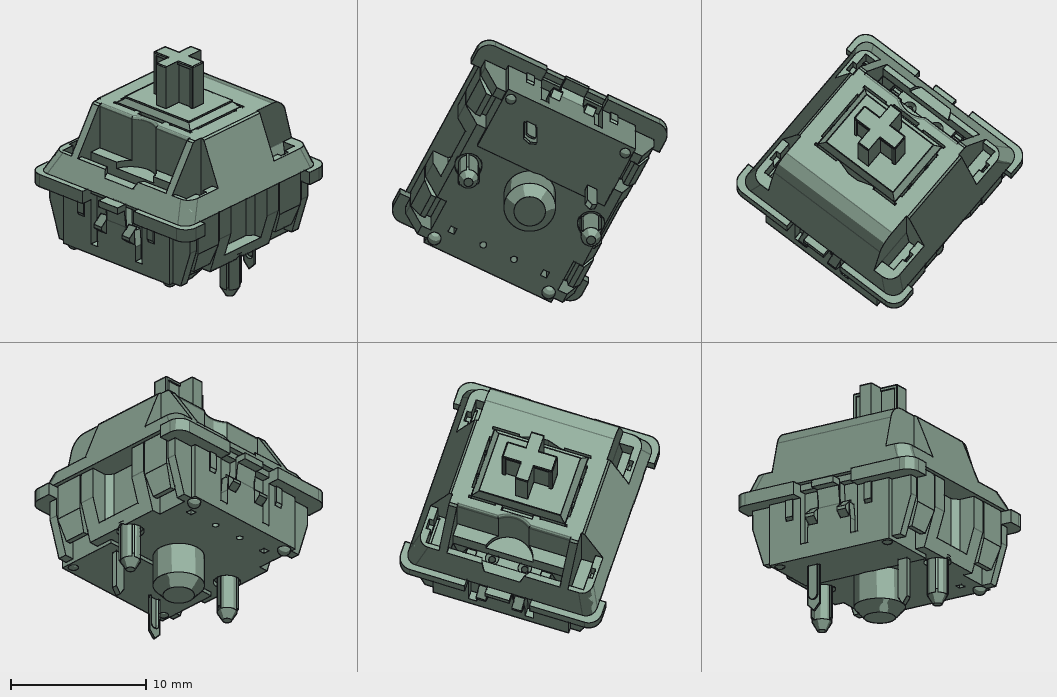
import cadquery as cq

SIDES = (-1, 1)
CUT = 18.4
MARGIN = 0.02

FLANGE_TOP = 1.01
LEDGE_Z = 2.55
ROOF_Z = 6.15
COLLAR_TOP = 6.66
STEM_TOP = 10.08
BASE_BOTTOM = -4.47
PAD_BOTTOM = -4.78
PEG_TIP_Z = -7.78
PIN_TIP_Z = -8.32
CAVITY_FLOOR = -3.45

FLANGE_HALF = 7.8
FLANGE_RADIUS = 1.01
FLANGE_SIDE_NOTCH = 5.72

BODY_HALF_X = 6.97
BODY_FOOT_X = 6.02
BODY_BEND_Z = -1.47
BODY_HALF_Y = 6.5
PLATE_HALF_X = 5.26
PLATE_Y = 6.88
PAD_FRONT_Y = 1.82
SIDE_POCKET_OUTER = 2.0
SIDE_POCKET_INNER = 1.5
SIDE_POCKET_SPLAY_X = 5.75
SIDE_POCKET_X = 5.3

WINDOW_HALF_X = 2.52
WINDOW_DEPTH = 0.65
WINDOW_BOTTOM = -3.65
WINDOW_TOP = 0.52
TONGUE_HALF_X = 1.88
TONGUE_NECK_X = 1.0
TONGUE_SHOULDER_Z = -1.18
TONGUE_TAPER_Z = -2.47
TONGUE_HOOK_X = 1.77
TAB_HALF_X = 0.94
TAB_TOP = 0.77
TAB_BOTTOM = 0.25
TAB_ROOT_Z = -1.15
TAB_SLOPE_RUN = 0.18
HOOK_Y = 7.4
HOOK_ROOT_Y = 6.62
HOOK_TOP = -0.95
HOOK_WIDTH = 0.75
HOOK_BOTTOM = -2.3
HOOK_NOSE_TOP = -1.6
HOOK_NOSE_BOTTOM = -1.85
RIB_X = 3.45
RIB_WIDTH = 0.6
RIB_Y = 7.01
RIB_BEND_Z = -1.35
RIB_BOTTOM = -1.6

POST_RADIUS = 3.8 / 2
POST_TIP_RADIUS = 1.15
POST_CHAMFER_Z = -6.95
PEG_X = 5.08
PEG_RADIUS = 0.74
PEG_TIP_RADIUS = 0.33
PEG_CHAMFER_Z = -7.08
PEG_SINK_DIAMETER = 2.0
PEG_SINK_DEPTH = 0.37
PEG_RIB_REACH = 0.86
PEG_RIB_WIDTH = 0.18
PEG_RIB_COUNT = 3
DOME_RADIUS = 1.0 / 2
DOME_X = 4.73
DOME_Y = 6.25

SKIRT_HALF = 7.32
SKIRT_RADIUS = 1.0
ROOF_HALF_X = 5.23
ROOF_FRONT_Y = -3.9
ROOF_BACK_Y = 5.9
BACK_RADIUS = 1.49
ROOF_EDGE = 0.13
SPINE_HALF_X = 5.0
SPINE_HALF_Y = 3.1
FRONT_RECESS_X = 4.38
FRONT_RECESS_Y = -3.85
RECESS_EDGE_RADIUS = 0.2
SCOOP_RADIUS = 1.9
SCOOP_Y = -5.32
SCOOP_FLOOR = 2.05

CLIP_INNER_X = 5.92
CLIP_OUTER_X = 7.0
CLIP_FOOT_X = 6.33
CLIP_Y = 4.5
CLIP_HALF_WIDTH = 1.15
CLIP_FOOT_HALF_WIDTH = 0.9
CLIP_BEND_Z = -1.84
CLIP_BOTTOM = -3.57
CLIP_GAP = 0.13
CORNER_POCKET_X = 6.1
CORNER_POCKET_Y = 5.96
CORNER_KEY_X = 6.45
CORNER_KEY_WIDTH = 0.77
CORNER_KEY_FLOOR = 1.47

LED_SLOT_FRONT = -5.85
LED_SLOT_BACK = -4.82
LED_HOLE_X = 1.27
LED_LEAD_Y = -5.08
LED_HOLE_DIAMETER = 0.5
LED_SINK_DIAMETER = 1.0
LED_STEP_EDGES = (LED_SLOT_BACK, -5.34, -5.55)
LED_STEP_HEIGHT = 0.18
FUNNEL_X = 3.83
FUNNEL_WIDTH = 1.15
FUNNEL_DEPTH = 1.1
FUNNEL_HOLE = 0.5

COLLAR_HALF_X = 3.62
COLLAR_HALF_Y = 2.78
COLLAR_TOP_X = 3.16
COLLAR_TOP_Y = 2.4
COLLAR_RIM = 0.13
CROSS_HALF = 1.95
CROSS_X_ARM_HALF = 0.65
CROSS_Y_ARM_HALF = 0.48
CROSS_EDGE = 0.07
CROSS_PANEL_DEPTH = 0.13
CROSS_PANEL_BORDER = 0.25
STEM_BOTTOM = FLANGE_TOP
STEM_CLEARANCE = 0.04
STEM_KEY_X = 1.15
STEM_KEY_Y = 3.0
STEM_KEY_TOP = 5.7
STEM_RAIL_Y = 0.95
STEM_RAIL_WIDTH = 0.4
OPENING_HALF_X = 3.8
OPENING_HALF_Y = 2.96
OPENING_SIDE_Y = 2.12
OPENING_CORNER_X = 1.75
KEYWAY_HALF_X = 1.2
KEYWAY_Y = 3.16
KEYWAY_BACK_X = 1.53
KEYWAY_BACK_TOP_X = 0.42

PIN_TOP = -3.31
PIN_SHOULDER_Z = -7.78
NARROW_PIN = dict(x=-3.79, y=2.54, width=0.8, thickness=0.42)
WIDE_PIN = dict(x=2.52, y=5.02, width=1.03, thickness=0.17)
PRESSED_WIDTH = 0.75
PRESSED_DEPTH = 0.13
PRESSED_TAPER = 45
PRESSED_BOTTOM = -7.45


def block(x0, x1, y0, y1, z0, z1):
    """Box between two opposite corners."""
    return cq.Workplane("XY").box(x1 - x0, y1 - y0, z1 - z0, centered=False).translate((x0, y0, z0))


def centred_block(half_x, half_y, z0, z1):
    return block(-half_x, half_x, -half_y, half_y, z0, z1)


def extrude_along_x(points_yz, x0, x1):
    return cq.Workplane("YZ").polyline(points_yz).close().extrude(x1 - x0).translate((x0, 0, 0))


def extrude_along_y(points_xz, y0, y1):
    return cq.Workplane("XZ").polyline(points_xz).close().extrude(y0 - y1).translate((0, y0, 0))


def both_ends(shape):
    """The shape and its mirror image across Y = 0."""
    return shape.union(shape.mirror("XZ"))


def both_sides(shape):
    """The shape and its mirror image across X = 0."""
    return shape.union(shape.mirror("YZ"))


def four_corners(shape):
    return both_sides(both_ends(shape))


def tapered_peg(radius, tip_radius, chamfer_z, top):
    """Round peg on the Z axis with a conical tip."""
    outline = [(0, top), (radius, top), (radius, chamfer_z), (tip_radius, PEG_TIP_Z), (0, PEG_TIP_Z)]
    return cq.Workplane("XZ").polyline(outline).close().revolve(360, (0, 0, 0), (0, 1, 0))


def base_flange():
    flange = centred_block(FLANGE_HALF, FLANGE_HALF, 0, FLANGE_TOP).edges("|Z").fillet(FLANGE_RADIUS)
    side_notch = block(BODY_HALF_X, CUT, -FLANGE_SIDE_NOTCH, FLANGE_SIDE_NOTCH, 0, FLANGE_TOP)
    end_notch = block(-WINDOW_HALF_X, WINDOW_HALF_X, -CUT, -PLATE_Y, 0, FLANGE_TOP)
    return flange.cut(both_sides(side_notch)).cut(both_ends(end_notch))


def base_body():
    half_outline = [
        (BODY_HALF_X, FLANGE_TOP),
        (BODY_HALF_X, BODY_BEND_Z),
        (BODY_FOOT_X, BASE_BOTTOM),
    ]
    outline = half_outline + [(-x, z) for x, z in reversed(half_outline)]
    body = extrude_along_y(outline, -BODY_HALF_Y, BODY_HALF_Y)
    body = body.union(centred_block(PLATE_HALF_X, PLATE_Y, BASE_BOTTOM, FLANGE_TOP))
    return body.union(block(-PLATE_HALF_X, PLATE_HALF_X, PAD_FRONT_Y, PLATE_Y, PAD_BOTTOM, BASE_BOTTOM))


def side_pocket():
    """Pocket in the right wall that narrows near its back."""
    outline = [
        (CUT, -SIDE_POCKET_OUTER),
        (SIDE_POCKET_SPLAY_X, -SIDE_POCKET_OUTER),
        (SIDE_POCKET_X, -SIDE_POCKET_INNER),
        (SIDE_POCKET_X, SIDE_POCKET_INNER),
        (SIDE_POCKET_SPLAY_X, SIDE_POCKET_OUTER),
        (CUT, SIDE_POCKET_OUTER),
    ]
    pocket = cq.Workplane("XY").workplane(offset=CAVITY_FLOOR).polyline(outline).close()
    return pocket.extrude(FLANGE_TOP - CAVITY_FLOOR)


def clip_recess():
    """Recess for a clip, deeper below the level where the clip starts to taper."""
    half_width = CLIP_HALF_WIDTH + CLIP_GAP
    recess = block(CLIP_INNER_X, CUT, CLIP_Y - half_width, CLIP_Y + half_width, CLIP_BEND_Z, CUT)
    return recess.union(block(PLATE_HALF_X, CUT, CLIP_Y - half_width, CLIP_Y + half_width, -CUT, CLIP_BEND_Z))


def latch_window():
    window_back = -PLATE_Y + WINDOW_DEPTH
    window = block(-WINDOW_HALF_X, WINDOW_HALF_X, -PLATE_Y, window_back, WINDOW_BOTTOM, WINDOW_TOP)
    half_tongue = [
        (TONGUE_HALF_X, WINDOW_BOTTOM),
        (TONGUE_HALF_X, TONGUE_TAPER_Z),
        (TONGUE_HOOK_X, TONGUE_SHOULDER_Z),
        (TONGUE_NECK_X, TONGUE_SHOULDER_Z),
        (TAB_HALF_X, WINDOW_TOP),
    ]
    outline = half_tongue + [(-x, z) for x, z in reversed(half_tongue)]
    return window.cut(extrude_along_y(outline, -PLATE_Y, window_back))


def release_tab():
    """Tab above the tongue, with a slightly sloping face under it."""
    outline = [
        (-PLATE_Y, TAB_ROOT_Z),
        (-PLATE_Y - TAB_SLOPE_RUN, TAB_BOTTOM),
        (-FLANGE_HALF, TAB_BOTTOM),
        (-FLANGE_HALF, TAB_TOP),
        (-PLATE_Y, TAB_TOP),
    ]
    return extrude_along_x(outline, -TAB_HALF_X, TAB_HALF_X)


def snap_hook():
    outline = [
        (-HOOK_ROOT_Y, HOOK_TOP),
        (-HOOK_Y, HOOK_NOSE_TOP),
        (-HOOK_Y, HOOK_NOSE_BOTTOM),
        (-PLATE_Y, HOOK_BOTTOM),
        (-HOOK_ROOT_Y, HOOK_BOTTOM),
    ]
    return extrude_along_x(outline, TONGUE_HOOK_X - HOOK_WIDTH, TONGUE_HOOK_X)


def press_rib():
    outline = [(-PLATE_Y, 0), (-RIB_Y, 0), (-RIB_Y, RIB_BEND_Z), (-PLATE_Y, RIB_BOTTOM)]
    return extrude_along_x(outline, RIB_X - RIB_WIDTH / 2, RIB_X + RIB_WIDTH / 2)


def side_peg():
    """Right-hand locating peg with ribs, one of them pointing to the middle of the part."""
    top = BASE_BOTTOM + PEG_SINK_DEPTH
    slope = (PEG_RADIUS - PEG_TIP_RADIUS) / (PEG_CHAMFER_Z - PEG_TIP_Z)
    rib_chamfer_z = PEG_CHAMFER_Z + (PEG_RIB_REACH - PEG_RADIUS) / slope
    envelope = tapered_peg(PEG_RIB_REACH, PEG_TIP_RADIUS, rib_chamfer_z, top)
    peg = tapered_peg(PEG_RADIUS, PEG_TIP_RADIUS, PEG_CHAMFER_Z, top)
    rib = block(-PEG_RIB_REACH, 0, -PEG_RIB_WIDTH / 2, PEG_RIB_WIDTH / 2, PEG_TIP_Z, top).intersect(envelope)
    for index in range(PEG_RIB_COUNT):
        peg = peg.union(rib.rotate((0, 0, 0), (0, 0, 1), index * 360 / PEG_RIB_COUNT))
    return peg.translate((PEG_X, 0, 0))


def peg_sink():
    """Round sink in the underside around the root of the right-hand peg."""
    sink = cq.Workplane("XY").circle(PEG_SINK_DIAMETER / 2).extrude(PEG_SINK_DEPTH)
    return sink.translate((PEG_X, 0, BASE_BOTTOM))


def lead_holes():
    """Countersunk round holes and funnelled square holes under the light slot."""
    holes = cq.Workplane("XY")
    sink_depth = (LED_SINK_DIAMETER - LED_HOLE_DIAMETER) / 2
    for side in SIDES:
        spot = (side * LED_HOLE_X, LED_LEAD_Y, FLANGE_TOP)
        hole = cq.Workplane("XY").circle(LED_HOLE_DIAMETER / 2).extrude(-CUT).translate(spot)
        sink = cq.Workplane(cq.Solid.makeCone(LED_HOLE_DIAMETER / 2, LED_SINK_DIAMETER / 2, sink_depth))
        sink = sink.translate((spot[0], spot[1], FLANGE_TOP - sink_depth))
        slot_length = LED_SLOT_BACK - LED_SLOT_FRONT
        funnel = (
            cq.Workplane("XY", origin=(side * FUNNEL_X, LED_SLOT_BACK, FLANGE_TOP))
            .center(0, -slot_length / 2)
            .rect(FUNNEL_WIDTH, slot_length)
            .workplane(offset=-FUNNEL_DEPTH)
            .center(0, (slot_length - FUNNEL_HOLE) / 2)
            .rect(FUNNEL_HOLE, FUNNEL_HOLE)
            .loft(ruled=True)
        )
        square = block(
            side * FUNNEL_X - FUNNEL_HOLE / 2,
            side * FUNNEL_X + FUNNEL_HOLE / 2,
            LED_SLOT_BACK - FUNNEL_HOLE,
            LED_SLOT_BACK,
            -CUT,
            FLANGE_TOP - FUNNEL_DEPTH,
        )
        for cutter in (hole, sink, funnel, square):
            holes = holes.add(cutter)
    return holes


def lead_steps():
    """Shallow steps between the round and square holes on the right, falling towards the front."""
    inner_edge_of_funnel = FUNNEL_X - FUNNEL_WIDTH / 2
    steps = cq.Workplane("XY")
    for index, edge_y in enumerate(LED_STEP_EDGES, start=1):
        floor_z = FLANGE_TOP - index * LED_STEP_HEIGHT
        step = block(WINDOW_HALF_X, inner_edge_of_funnel, LED_SLOT_FRONT, edge_y, floor_z, FLANGE_TOP)
        steps = steps.union(step)
    return steps


def make_base():
    base = base_flange().union(base_body())
    base = base.cut(centred_block(OPENING_HALF_X, OPENING_HALF_Y, CAVITY_FLOOR, FLANGE_TOP))
    base = base.cut(both_sides(side_pocket()))
    base = base.cut(four_corners(clip_recess()))
    base = base.cut(both_ends(latch_window()))
    base = base.union(both_ends(release_tab()))
    base = base.union(four_corners(snap_hook()))
    base = base.union(four_corners(press_rib()))
    base = base.union(tapered_peg(POST_RADIUS, POST_TIP_RADIUS, POST_CHAMFER_Z, BASE_BOTTOM))
    base = base.cut(both_sides(peg_sink())).union(both_sides(side_peg()))
    dome = cq.Workplane("XY").sphere(DOME_RADIUS).translate((DOME_X, DOME_Y, BASE_BOTTOM))
    base = base.union(four_corners(dome))
    base = base.cut(both_sides(lead_steps()))
    for cutter in lead_holes().vals():
        base = base.cut(cq.Workplane(cutter))
    return base


def upper_shell():
    """Tapered block, cut away at its four corners above a rim with rounded corners."""
    shell = (
        cq.Workplane("XY", origin=(0, 0, FLANGE_TOP))
        .rect(2 * SKIRT_HALF, 2 * SKIRT_HALF)
        .workplane(offset=ROOF_Z - FLANGE_TOP)
        .center(0, (ROOF_FRONT_Y + ROOF_BACK_Y) / 2)
        .rect(2 * ROOF_HALF_X, ROOF_BACK_Y - ROOF_FRONT_Y)
        .loft(ruled=True)
    )
    shell = shell.cut(four_corners(block(SPINE_HALF_X, CUT, SPINE_HALF_Y, CUT, LEDGE_Z, CUT)))
    rim = cq.selectors.BoxSelector((-CUT, -CUT, FLANGE_TOP + MARGIN), (CUT, CUT, LEDGE_Z - MARGIN))
    return shell.edges(rim).fillet(SKIRT_RADIUS)


def roof_edges(x0, x1, y0, y1):
    """Selector of the roof edges whose centres lie in a rectangle."""
    return cq.selectors.BoxSelector(
        (x0 - MARGIN, y0 - MARGIN, ROOF_Z - MARGIN),
        (x1 + MARGIN, y1 + MARGIN, ROOF_Z + MARGIN),
    )


def round_roof_edges(shell):
    shell = shell.edges(roof_edges(0, 0, ROOF_BACK_Y, ROOF_BACK_Y)).fillet(BACK_RADIUS)
    for side in SIDES:
        edge_x = side * ROOF_HALF_X
        shell = shell.edges(roof_edges(edge_x, edge_x, 0, 0)).chamfer(ROOF_EDGE)
    return shell


def front_recess():
    recess = block(-FRONT_RECESS_X, FRONT_RECESS_X, -CUT, FRONT_RECESS_Y, LEDGE_Z, CUT)
    scoop = cq.Workplane("XY").circle(SCOOP_RADIUS).extrude(CUT).translate((0, SCOOP_Y, SCOOP_FLOOR))
    return recess.union(scoop)


def corner_pocket():
    """Opening beside a clip, with a key notch in the clip's top."""
    pocket = block(SPINE_HALF_X, CORNER_POCKET_X, SPINE_HALF_Y, CORNER_POCKET_Y, FLANGE_TOP, LEDGE_Z)
    half_key = CORNER_KEY_WIDTH / 2
    key_front = CLIP_Y - half_key
    key_back = CLIP_Y + half_key
    key = block(CORNER_POCKET_X, CORNER_KEY_X, key_front, key_back, CORNER_KEY_FLOOR, LEDGE_Z)
    return pocket.union(key)


def back_pocket_wedge():
    """Sloping inner wall of a back corner pocket."""
    outline = [(SPINE_HALF_X, LEDGE_Z), (PLATE_HALF_X, FLANGE_TOP), (SPINE_HALF_X, FLANGE_TOP)]
    return extrude_along_y(outline, SPINE_HALF_Y, CORNER_POCKET_Y)


def clip():
    side_outline = [
        (CLIP_INNER_X, FLANGE_TOP),
        (CLIP_OUTER_X, FLANGE_TOP),
        (CLIP_OUTER_X, CLIP_BEND_Z),
        (CLIP_FOOT_X, CLIP_BOTTOM),
        (CLIP_INNER_X, CLIP_BOTTOM),
    ]
    face_outline = [
        (CLIP_Y - CLIP_HALF_WIDTH, FLANGE_TOP),
        (CLIP_Y - CLIP_HALF_WIDTH, CLIP_BEND_Z),
        (CLIP_Y - CLIP_FOOT_HALF_WIDTH, CLIP_BOTTOM),
        (CLIP_Y + CLIP_FOOT_HALF_WIDTH, CLIP_BOTTOM),
        (CLIP_Y + CLIP_HALF_WIDTH, CLIP_BEND_Z),
        (CLIP_Y + CLIP_HALF_WIDTH, FLANGE_TOP),
    ]
    side = extrude_along_y(side_outline, CLIP_Y - CLIP_HALF_WIDTH, CLIP_Y + CLIP_HALF_WIDTH)
    return side.intersect(extrude_along_x(face_outline, CLIP_INNER_X, CLIP_OUTER_X))


def stem_opening():
    """Opening that clears the stem, with wider bands, side slots and a keyway at each end."""
    bottom = FLANGE_TOP
    top = ROOF_Z
    stem_x = COLLAR_HALF_X + STEM_CLEARANCE
    stem_y = COLLAR_HALF_Y + STEM_CLEARANCE
    opening = centred_block(stem_x, stem_y, bottom, top)
    opening = opening.union(centred_block(OPENING_HALF_X, OPENING_SIDE_Y, bottom, top))
    corner = block(OPENING_CORNER_X, OPENING_HALF_X, COLLAR_HALF_Y, OPENING_HALF_Y, bottom, top)
    opening = opening.union(four_corners(corner))
    opening = opening.union(block(-KEYWAY_HALF_X, KEYWAY_HALF_X, -KEYWAY_Y, 0, bottom, top))
    back_outline = [
        (-KEYWAY_BACK_X, stem_y),
        (-KEYWAY_BACK_TOP_X, KEYWAY_Y),
        (KEYWAY_BACK_TOP_X, KEYWAY_Y),
        (KEYWAY_BACK_X, stem_y),
    ]
    back = cq.Workplane("XY").workplane(offset=bottom).polyline(back_outline).close().extrude(top - bottom)
    return opening.union(back)


def make_upper():
    upper = round_roof_edges(upper_shell()).cut(front_recess())
    scoop_back = SCOOP_Y + SCOOP_RADIUS
    recess_edges = roof_edges(-FRONT_RECESS_X, FRONT_RECESS_X, FRONT_RECESS_Y, scoop_back)
    upper = upper.edges(recess_edges).fillet(RECESS_EDGE_RADIUS)
    rib_edges = roof_edges(-SPINE_HALF_X, SPINE_HALF_X, ROOF_FRONT_Y, ROOF_FRONT_Y)
    upper = upper.edges(rib_edges).chamfer(ROOF_EDGE)
    upper = upper.cut(four_corners(corner_pocket())).union(both_sides(back_pocket_wedge()))
    led_slot = block(-FRONT_RECESS_X, FRONT_RECESS_X, LED_SLOT_FRONT, LED_SLOT_BACK, FLANGE_TOP, LEDGE_Z)
    upper = upper.cut(led_slot).cut(stem_opening())
    return upper.union(four_corners(clip()))


def stem_cross():
    x_arm = centred_block(CROSS_HALF, CROSS_X_ARM_HALF, COLLAR_TOP, STEM_TOP)
    x_arm = x_arm.edges("|Z or >Z").chamfer(CROSS_EDGE)
    panel = block(
        0,
        CROSS_HALF - CROSS_PANEL_BORDER,
        CROSS_X_ARM_HALF - CROSS_PANEL_DEPTH,
        CROSS_X_ARM_HALF,
        COLLAR_TOP,
        STEM_TOP - CROSS_PANEL_BORDER,
    )
    x_arm = x_arm.cut(four_corners(panel))
    y_arm = centred_block(CROSS_Y_ARM_HALF, CROSS_HALF, COLLAR_TOP, STEM_TOP)
    y_arm = y_arm.faces(">Z").edges("|X").chamfer(CROSS_EDGE)
    return x_arm.union(y_arm)


def make_stem():
    stem = centred_block(COLLAR_HALF_X, COLLAR_HALF_Y, STEM_BOTTOM, ROOF_Z)
    rim_z = COLLAR_TOP - COLLAR_RIM
    bevel = (
        cq.Workplane("XY", origin=(0, 0, ROOF_Z))
        .rect(2 * COLLAR_HALF_X, 2 * COLLAR_HALF_Y)
        .workplane(offset=rim_z - ROOF_Z)
        .rect(2 * COLLAR_TOP_X, 2 * COLLAR_TOP_Y)
        .loft(ruled=True)
    )
    stem = stem.union(bevel).union(centred_block(COLLAR_TOP_X, COLLAR_TOP_Y, rim_z, COLLAR_TOP))
    stem = stem.union(block(-STEM_KEY_X, STEM_KEY_X, -STEM_KEY_Y, 0, STEM_BOTTOM, STEM_KEY_TOP))
    half_rail = STEM_RAIL_WIDTH / 2
    rail_x = OPENING_HALF_X - STEM_CLEARANCE
    rail = block(0, rail_x, STEM_RAIL_Y - half_rail, STEM_RAIL_Y + half_rail, STEM_BOTTOM, STEM_KEY_TOP)
    return stem.union(four_corners(rail)).union(stem_cross())


def flat_pin(x, y, width, thickness):
    """Flat pin with a pointed tip."""
    half = width / 2
    outline = [
        (x - half, PIN_TOP),
        (x - half, PIN_SHOULDER_Z),
        (x, PIN_TIP_Z),
        (x + half, PIN_SHOULDER_Z),
        (x + half, PIN_TOP),
    ]
    return extrude_along_y(outline, y - thickness / 2, y + thickness / 2)


def pressed_strip(y, depth, taper=0):
    """Round-ended strip along the wide pin, from y towards the back."""
    radius = PRESSED_WIDTH / 2
    arc_z = PRESSED_BOTTOM + radius
    x = WIDE_PIN["x"]
    outline = (
        cq.Workplane("XZ", origin=(x, y, 0))
        .moveTo(-radius, PIN_TOP)
        .lineTo(-radius, arc_z)
        .threePointArc((0, PRESSED_BOTTOM), (radius, arc_z))
        .lineTo(radius, PIN_TOP)
        .close()
    )
    return outline.extrude(-depth, taper=taper)


def make_wide_pin():
    """Wide pin with a sloping groove pressed into its front that stands out at its back."""
    front = WIDE_PIN["y"] - WIDE_PIN["thickness"] / 2
    pin = flat_pin(**WIDE_PIN).union(pressed_strip(front, WIDE_PIN["thickness"] + PRESSED_DEPTH))
    return pin.cut(pressed_strip(front, PRESSED_DEPTH, taper=PRESSED_TAPER))


narrow_pin = flat_pin(**NARROW_PIN)
wide_pin = make_wide_pin()
base = make_base().cut(narrow_pin).cut(wide_pin)
upper = make_upper()
stem = make_stem()

bodies = [base, upper, stem, narrow_pin, wide_pin]
result = cq.Compound.makeCompound([body.solids().val() for body in bodies])